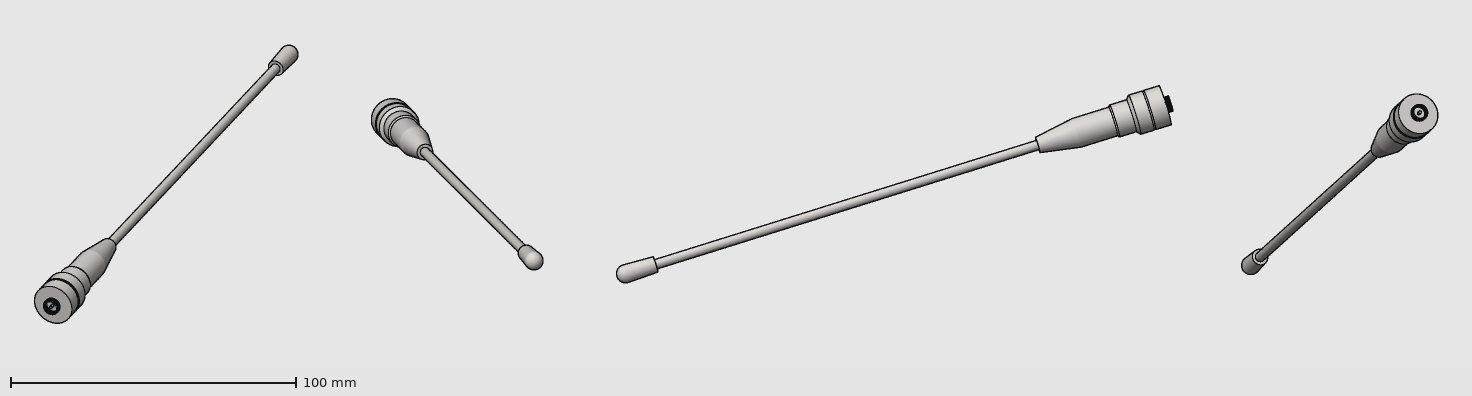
import cadquery as cq

total_length = 204.0

collar_start = 2.0
groove_position = 7.8
groove_width = 0.6
collar_shoulder = 13.3
neck_start = 14.5
neck_end = 20.6
grip_start = 21.2
taper_start = 34.7
taper_end = 49.0
cap_start = 189.7
dome_start = 200.7

connector_radius = 2.9
collar_radius = 14.5 / 2
neck_radius = 6.0
grip_radius = 5.3
taper_tip_radius = 2.9
rod_radius = 1.73
cap_base_radius = 2.9
cap_radius = 3.3

groove_depth = 0.2
thread_count = 3
thread_depth = 0.3
thread_ridge_fraction = 0.5
socket_radius = 2.2
socket_depth = 1.6
pin_radius = 0.5


def ring(outer_radius, inner_radius, start, width):
    """Ring around the Y axis, running from start towards +Y."""
    base = cq.Workplane("XZ", origin=(0, start, 0))
    return base.circle(outer_radius).circle(inner_radius).extrude(-width)


def turned_body():
    """Half section in the XY plane, revolved around the Y axis."""
    dome_height = total_length - dome_start
    dome_curve_point = (cap_radius * 0.5 ** 0.5, dome_start + dome_height * 0.5 ** 0.5)
    return (
        cq.Workplane("XY")
        .moveTo(0, 0)
        .lineTo(connector_radius, 0)
        .lineTo(connector_radius, collar_start)
        .lineTo(collar_radius, collar_start)
        .lineTo(collar_radius, collar_shoulder)
        .lineTo(neck_radius, neck_start)
        .lineTo(neck_radius, neck_end)
        .lineTo(grip_radius, grip_start)
        .lineTo(grip_radius, taper_start)
        .lineTo(taper_tip_radius, taper_end)
        .lineTo(rod_radius, taper_end)
        .lineTo(rod_radius, cap_start)
        .lineTo(cap_base_radius, cap_start)
        .lineTo(cap_radius, dome_start)
        .threePointArc(dome_curve_point, (0, total_length))
        .close()
        .revolve(360, (0, 0, 0), (0, 1, 0))
    )


def cut_collar_groove(body):
    return body.cut(ring(collar_radius, collar_radius - groove_depth, groove_position, groove_width))


def cut_thread_grooves(body):
    pitch = collar_start / thread_count
    for index in range(thread_count):
        start = (index + thread_ridge_fraction) * pitch
        width = (1 - thread_ridge_fraction) * pitch
        body = body.cut(ring(connector_radius, connector_radius - thread_depth, start, width))
    return body


def cut_socket(body):
    """Annular recess that leaves a contact pin standing in the middle."""
    return body.cut(ring(socket_radius, pin_radius, 0, socket_depth))


result = cut_socket(cut_thread_grooves(cut_collar_groove(turned_body())))